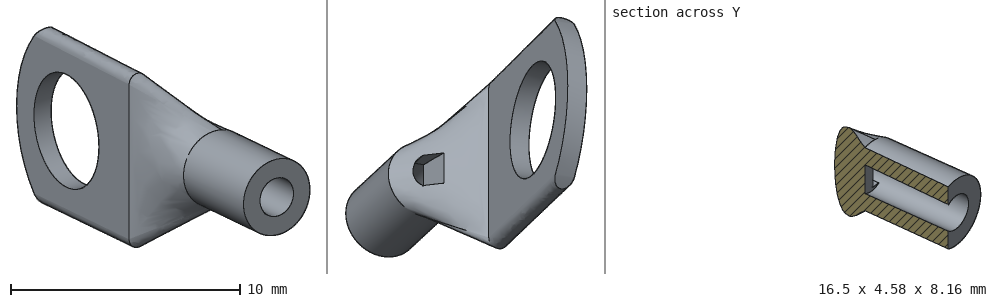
import cadquery as cq
import math


overall_length = 16.53
overall_depth = 4.58

palm_thickness = 0.9
palm_width_front = 8.19
palm_width_neck = 8.03
stud_hole_diameter = 5.2
tip_to_hole = 4.0
tip_radius = 5.4
palm_length = 9.03

barrel_radius = 1.75
bore_radius = 0.88
barrel_length = 4.68
barrel_tilt = math.radians(1.0)
crown_half_angle = math.radians(82)

window_width = 1.44
window_floor_outer_y = 2.49
window_floor_inner_y = 2.83
window_floor_outer_x = 6.24

palm_tip_x = -tip_to_hole
palm_end_x = palm_tip_x + palm_length
palm_mid_y = palm_thickness / 2
axis = cq.Vector(math.cos(barrel_tilt), math.sin(barrel_tilt), 0)
barrel_up = cq.Vector(-math.sin(barrel_tilt), math.cos(barrel_tilt), 0)
barrel_side = cq.Vector(0, 0, 1)
barrel_end = cq.Vector(
    palm_tip_x + overall_length - barrel_radius * math.sin(barrel_tilt),
    overall_depth - barrel_radius * math.cos(barrel_tilt),
    0,
)
barrel_start = barrel_end - axis * barrel_length


def closed_section(corners, arc_middles):
    """Wire through four corners; a side with a middle point is an arc, otherwise a line."""
    edges = []
    for index, middle in enumerate(arc_middles):
        start = corners[index]
        end = corners[(index + 1) % len(corners)]
        if middle is None:
            edges.append(cq.Edge.makeLine(start, end))
        else:
            edges.append(cq.Edge.makeThreePointArc(start, middle, end))
    return cq.Wire.assembleEdges(edges)


def palm_section(x, width):
    """Flat section with fully rounded side edges."""
    half_flat = width / 2 - palm_thickness / 2
    corners = [
        cq.Vector(x, palm_thickness, -half_flat),
        cq.Vector(x, palm_thickness, half_flat),
        cq.Vector(x, 0, half_flat),
        cq.Vector(x, 0, -half_flat),
    ]
    upper_side = cq.Vector(x, palm_mid_y, width / 2)
    lower_side = cq.Vector(x, palm_mid_y, -width / 2)
    return closed_section(corners, [None, upper_side, None, lower_side])


def rim_point(angle):
    """Point on the barrel's inner-end rim; the angle runs from +Y toward +Z."""
    radial = barrel_up * math.cos(angle) + barrel_side * math.sin(angle)
    return barrel_start + radial * barrel_radius


def barrel_section():
    corner_angles = [
        -crown_half_angle,
        crown_half_angle,
        math.pi - crown_half_angle,
        math.pi + crown_half_angle,
    ]
    middle_angles = [0, math.pi / 2, math.pi, -math.pi / 2]
    return closed_section([rim_point(a) for a in corner_angles], [rim_point(a) for a in middle_angles])


def make_palm():
    blank = cq.Workplane(cq.Solid.makeLoft(
        [palm_section(palm_tip_x, palm_width_front), palm_section(palm_end_x, palm_width_neck)], True
    ))
    disc_x = palm_tip_x + tip_radius
    disc = cq.Workplane("XZ").center(disc_x, 0).circle(tip_radius).extrude(-palm_thickness)
    tail = cq.Workplane("XY").box(
        palm_end_x - disc_x, palm_thickness, 2 * tip_radius, centered=(False, False, True)
    ).translate((disc_x, 0, 0))
    stud_hole = cq.Workplane("XZ").circle(stud_hole_diameter / 2).extrude(-palm_thickness)
    return blank.intersect(disc.union(tail)).cut(stud_hole)


def make_neck():
    return cq.Workplane(cq.Solid.makeLoft([palm_section(palm_end_x, palm_width_neck), barrel_section()], True))


def make_barrel_cylinder(radius):
    return cq.Workplane(cq.Solid.makeCylinder(radius, barrel_length, barrel_start, axis))


def make_window():
    """Continuation of the bore through the neck wall, with flat sides and a sloping floor."""
    reach = barrel_start.x - palm_end_x
    rod = cq.Workplane(cq.Solid.makeCylinder(bore_radius, reach, barrel_start, axis * -1))
    limits = (
        cq.Workplane("XY")
        .moveTo(palm_end_x, overall_depth)
        .lineTo(barrel_start.x + bore_radius, overall_depth)
        .lineTo(barrel_start.x + bore_radius, window_floor_inner_y)
        .lineTo(barrel_start.x, window_floor_inner_y)
        .lineTo(window_floor_outer_x, window_floor_outer_y)
        .lineTo(palm_end_x, window_floor_outer_y)
        .close()
        .extrude(window_width / 2, both=True)
    )
    return rod.intersect(limits)


body = make_palm().union(make_neck()).union(make_barrel_cylinder(barrel_radius))
result = body.cut(make_barrel_cylinder(bore_radius)).cut(make_window())